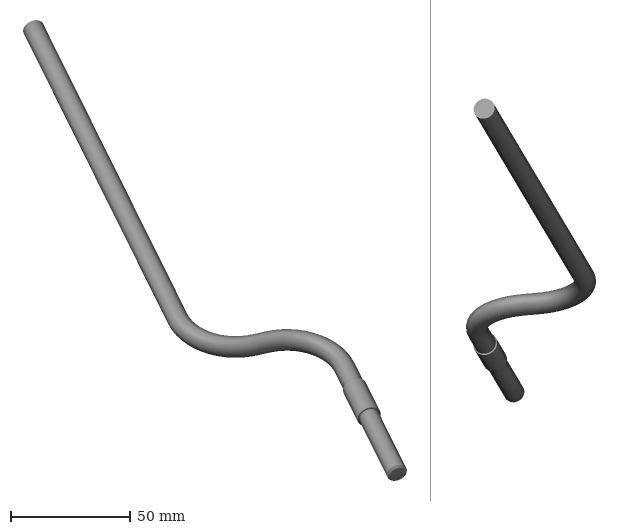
import cadquery as cq

total_length = 312.5
rod_diameter = 9.0
side_offset = 57.0
bend_radius = 25.5

bar_length = 191.3
neck_length = 13.0
collar_length = 19.0
collar_diameter = 10.3
tip_diameter = 8.8
tip_chamfer = 1.0

link_length = side_offset - 2 * bend_radius
link_x = bar_length + bend_radius
link_start_y = bend_radius
spindle_x = link_x + bend_radius
tip_length = total_length - spindle_x - neck_length - collar_length


def rod_along_x(diameter, length, start_x, axis_y):
    """Round rod that runs in +X from its start."""
    return cq.Workplane("YZ", origin=(start_x, axis_y, 0)).circle(diameter / 2).extrude(length)


def quarter_bend(end_x, axis_y, x_direction):
    """Quarter bend that leaves a straight axis and turns onto the link.

    x_direction is 1 when it runs in +X and turns to +Y, -1 when it runs in -X and turns to -Y.
    """
    pivot_y = x_direction * bend_radius
    pivot_axis_start = (pivot_y, 0, 0)
    pivot_axis_end = (pivot_y, 1, 0)
    return (
        cq.Workplane("YZ", origin=(end_x, axis_y, 0))
        .circle(rod_diameter / 2)
        .revolve(90, pivot_axis_start, pivot_axis_end)
    )


def make_link():
    """Short straight piece along Y between the two bends."""
    return (
        cq.Workplane("XZ", origin=(link_x, link_start_y, 0))
        .circle(rod_diameter / 2)
        .extrude(-link_length)
    )


def make_spindle():
    """End piece: neck, larger collar and chamfered tip."""
    collar_x = spindle_x + neck_length
    tip_x = collar_x + collar_length
    neck = rod_along_x(rod_diameter, neck_length, spindle_x, side_offset)
    collar = rod_along_x(collar_diameter, collar_length, collar_x, side_offset)
    tip = rod_along_x(tip_diameter, tip_length, tip_x, side_offset)
    tip = tip.faces(">X").chamfer(tip_chamfer)
    return neck.union(collar).union(tip)


bar = rod_along_x(rod_diameter, bar_length, 0, 0)
lower_bend = quarter_bend(bar_length, 0, 1)
link = make_link()
upper_bend = quarter_bend(spindle_x, side_offset, -1)
spindle = make_spindle()

bodies = [bar, lower_bend, link, upper_bend, spindle]
result = cq.Compound.makeCompound([body.val() for body in bodies])